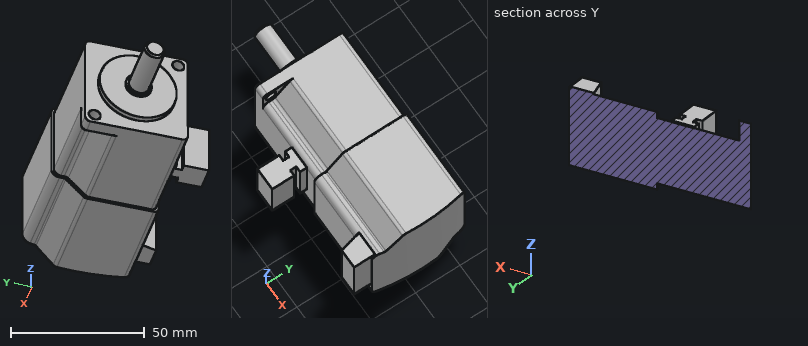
import cadquery as cq

X_COLLAR = 21.5
X_PILOT = 22.5
X_FLANGE = 24.7
X_CASE = 29.9
X_COVER = 65.8
X_END = 106.5

SHAFT_DIAMETER = 8.0
COLLAR_DIAMETER = 10.0
SHAFT_CHAMFER = 0.7

FLANGE_SIDE = 40.0
COVER_SIDE = 42.0
CORNER_RADIUS = 2.1
PILOT_DIAMETER = 30.0
HOLE_DIAMETER = 4.6
HOLE_OFFSET = 16.3

CASE_SHELF = 12.1
CASE_SLOPE_START = 7.2
COVER_SHELF = 13.1
COVER_SLOPE_START = 7.8
SLOPE_TOP_RADIUS = 2.1
CASE_FOOT_RADIUS = 2.1
COVER_FOOT_RADIUS = 1.0
CASE_SHELF_RADIUS = 2.7
COVER_SHELF_RADIUS = 3.2

REAR_BULGE = 2.3

PLUG_X = 49.4
PLUG_WIDTH = 10.0
PLUG_HEIGHT = 20.2
TOTAL_DEPTH = 56.7
PLUG_END_Y = COVER_SIDE / 2 - TOTAL_DEPTH
PLUG_NECK_WIDTH = 4.8
PLUG_NECK_START_Y = -23.1
PLUG_NECK_END_Y = -25.8

SOCKET_ROOT_X = 93.1
SOCKET_TIP_X = 95.5
SOCKET_BACK_X = 103.8
SOCKET_ROOT_Y = -19.1
SOCKET_TIP_Y = -28.8
SOCKET_HEIGHT = 25.5


def cylinder(diameter, x_start, x_end):
    return cq.Workplane("YZ", origin=(x_start, 0, 0)).circle(diameter / 2).extrude(x_end - x_start)


def square_prism(side, x_start, x_end):
    """Square bar along X with rounded long edges."""
    length = x_end - x_start
    bar = cq.Workplane("YZ", origin=(x_start, 0, 0)).rect(side, side).extrude(length)
    return bar.edges("|X").fillet(CORNER_RADIUS)


def edges_at(y, z, x_middle):
    """Select the two long edges at (y, z) and at the point opposite the axis."""
    return cq.selectors.SumSelector(
        cq.selectors.NearestToPointSelector((x_middle, y, z)),
        cq.selectors.NearestToPointSelector((x_middle, -y, -z)),
    )


def relieved_prism(side, shelf, slope_start, foot_radius, shelf_radius, x_start, x_end):
    """Square bar along X whose -Y+Z and +Y-Z corners are relieved."""
    half = side / 2
    slope_foot = slope_start + half - shelf
    half_outline = [(half, half), (-slope_start, half), (-slope_foot, shelf), (-half, shelf)]
    opposite_half = [(-y, -z) for y, z in half_outline]
    x_middle = (x_start + x_end) / 2
    bar = (
        cq.Workplane("YZ", origin=(x_start, 0, 0))
        .polyline(half_outline + [(-half, -half)] + opposite_half[1:])
        .close()
        .extrude(x_end - x_start)
    )
    roundings = [
        (half, half, CORNER_RADIUS),
        (-slope_start, half, SLOPE_TOP_RADIUS),
        (-slope_foot, shelf, foot_radius),
        (-half, shelf, shelf_radius),
    ]
    for y, z, radius in roundings:
        bar = bar.edges(edges_at(y, z, x_middle)).fillet(radius)
    return bar


def make_flange():
    flange = square_prism(FLANGE_SIDE, X_FLANGE, X_CASE)
    holes = (
        cq.Workplane("YZ", origin=(X_FLANGE, 0, 0))
        .pushPoints([(-HOLE_OFFSET, HOLE_OFFSET), (HOLE_OFFSET, -HOLE_OFFSET)])
        .circle(HOLE_DIAMETER / 2)
        .extrude(X_CASE - X_FLANGE)
    )
    return flange.cut(holes)


def make_cover():
    """Rear cover with its end face curved about a Z axis."""
    cover = relieved_prism(
        COVER_SIDE, COVER_SHELF, COVER_SLOPE_START, COVER_FOOT_RADIUS,
        COVER_SHELF_RADIUS, X_COVER, X_END,
    )
    half = COVER_SIDE / 2
    curved_outline = (
        cq.Workplane("XY", origin=(0, 0, -half))
        .moveTo(X_COVER, -half)
        .lineTo(X_END - REAR_BULGE, -half)
        .threePointArc((X_END, 0), (X_END - REAR_BULGE, half))
        .lineTo(X_COVER, half)
        .close()
        .extrude(COVER_SIDE)
    )
    return cover.intersect(curved_outline)


def make_plug():
    """Front connector: a block with a narrow neck near the case."""
    neck_inset = (PLUG_WIDTH - PLUG_NECK_WIDTH) / 2
    right = PLUG_X + PLUG_WIDTH
    wall_y = -FLANGE_SIDE / 2
    return (
        cq.Workplane("XY", origin=(0, 0, -PLUG_HEIGHT / 2))
        .moveTo(PLUG_X, wall_y)
        .lineTo(PLUG_X, PLUG_NECK_START_Y)
        .lineTo(PLUG_X + neck_inset, PLUG_NECK_START_Y)
        .lineTo(PLUG_X + neck_inset, PLUG_NECK_END_Y)
        .lineTo(PLUG_X, PLUG_NECK_END_Y)
        .lineTo(PLUG_X, PLUG_END_Y)
        .lineTo(right, PLUG_END_Y)
        .lineTo(right, PLUG_NECK_END_Y)
        .lineTo(right - neck_inset, PLUG_NECK_END_Y)
        .lineTo(right - neck_inset, PLUG_NECK_START_Y)
        .lineTo(right, PLUG_NECK_START_Y)
        .lineTo(right, wall_y)
        .close()
        .extrude(PLUG_HEIGHT)
    )


def make_socket():
    """Rear connector: a block with a slanted front face."""
    outline = [
        (SOCKET_ROOT_X, SOCKET_ROOT_Y),
        (SOCKET_TIP_X, SOCKET_TIP_Y),
        (SOCKET_BACK_X, SOCKET_TIP_Y),
        (SOCKET_BACK_X, SOCKET_ROOT_Y),
    ]
    base = cq.Workplane("XY", origin=(0, 0, -SOCKET_HEIGHT / 2))
    return base.polyline(outline).close().extrude(SOCKET_HEIGHT)


def make_housing():
    case = relieved_prism(
        FLANGE_SIDE, CASE_SHELF, CASE_SLOPE_START, CASE_FOOT_RADIUS,
        CASE_SHELF_RADIUS, X_CASE, X_COVER,
    )
    pilot = cylinder(PILOT_DIAMETER, X_PILOT, X_FLANGE)
    housing = make_flange().union(pilot).union(case)
    return housing.union(make_cover()).union(make_plug()).union(make_socket())


def make_shaft():
    """Shaft with a chamfered tip and a collar resting on the pilot face."""
    shaft = cylinder(SHAFT_DIAMETER, 0, X_COLLAR).faces("<X").chamfer(SHAFT_CHAMFER)
    collar = cylinder(COLLAR_DIAMETER, X_COLLAR, X_PILOT)
    return shaft.union(collar)


housing = make_housing()
shaft = make_shaft()
result = cq.Compound.makeCompound([housing.solids().val(), shaft.solids().val()])